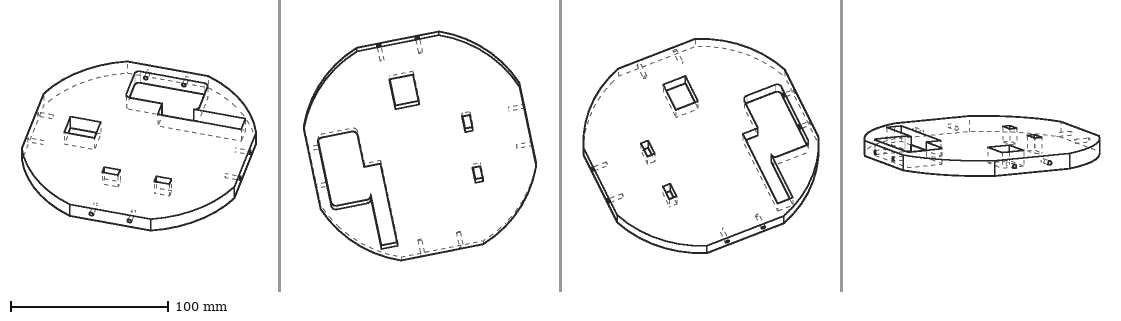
import cadquery as cq

plate_width = 140.0
plate_thickness = 10.0
disc_radius = 74.9

window_width = 48.0
window_height = 25.6
window_center = (4.9, 50.1)
window_corner_radius = 3.0

slot_width = 54.9
slot_height = 10.5
slot_left = 5.2
window_bottom = window_center[1] - window_height / 2
slot_center = (slot_left + slot_width / 2, window_bottom - slot_height / 2)

plain_openings = [
    (19.9, 15.4, (-38.0, 2.5)),
    (10.4, 5.0, (-9.5, -32.8)),
    (10.0, 5.0, (24.5, -32.5)),
]

edge_hole_diameter = 2.5
edge_hole_spacing = 25.0
edge_hole_depth = 10.0


def make_plate():
    disc = cq.Workplane("XY").circle(disc_radius).extrude(plate_thickness)
    square = cq.Workplane("XY").rect(plate_width, plate_width).extrude(plate_thickness)
    return disc.intersect(square)


def opening(width, height, center):
    return cq.Workplane("XY").center(*center).rect(width, height).extrude(plate_thickness)


def edge_holes():
    """Hole pair drilled inward from the -Y flat at mid thickness."""
    flat = cq.Plane(
        origin=(0, -plate_width / 2, plate_thickness / 2),
        xDir=(1, 0, 0),
        normal=(0, 1, 0),
    )
    return (
        cq.Workplane(flat)
        .rarray(edge_hole_spacing, 1.4, 2, 1)
        .circle(edge_hole_diameter / 2)
        .extrude(edge_hole_depth)
    )


result = make_plate()

window = opening(window_width, window_height, window_center)
result = result.cut(window.edges("|Z").fillet(window_corner_radius))
result = result.cut(opening(slot_width, slot_height, slot_center))

for width, height, center in plain_openings:
    result = result.cut(opening(width, height, center))

for angle in (0, 90, 180, 270):
    result = result.cut(edge_holes().rotate((0, 0, 0), (0, 0, 1), angle))